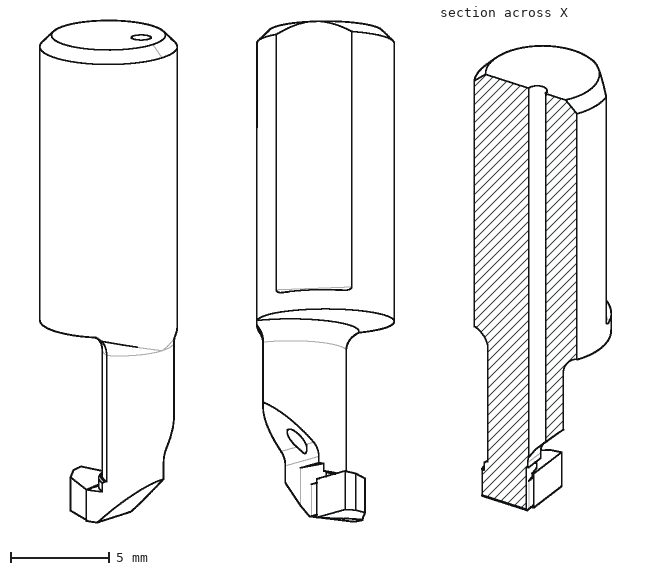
import cadquery as cq
import math

TOTAL_LENGTH = 25
SHANK_RADIUS = 3.5
SHANK_BOTTOM = 10
SHANK_CHAMFER = 0.6
FLAT_DISTANCE = 2.9
FLAT_BOTTOM = 11
FLAT_FILLET = 0.2

BACK_RADIUS = 2.8
BACK_CENTRE_X = SHANK_RADIUS - BACK_RADIUS
NECK_LEFT_X = 0.4
LENS_CORNER_X = 1.92
LENS_CORNER_Y = math.sqrt(BACK_RADIUS**2 - (LENS_CORNER_X - BACK_CENTRE_X)**2)
FLARE_RADIUS = 1.1
FLARE_TOP = SHANK_BOTTOM + 0.1

RELIEF_Y = 0.15
RELIEF_SLOPE_TOP = 5.88
RELIEF_RADIUS = 1

LENS_DEPTH = LENS_CORNER_X - NECK_LEFT_X
FRONT_RADIUS = (LENS_DEPTH**2 + LENS_CORNER_Y**2) / (2 * LENS_DEPTH)
FRONT_CENTRE_X = NECK_LEFT_X + FRONT_RADIUS

ARM_TOP = 1.8
COLLAR_TOP = 2.35
COLLAR_STEP = 0.18
COLLAR_CHAMFER = 0.1
COLLAR_RIGHT_X = 1.78
ARM_BOTTOM = 0.15
HEEL_X = 1.45

POCKET_RIGHT_X = 2.1
POCKET_TOP = 2.75
POCKET_DEEP_X = 0.25
POCKET_DEEP_Y = -0.2

TIP_LEFT_X = -1.8
TIP_LAND_X = -1.75
TIP_LAND_Y = -0.68
TIP_CORNER_X = -1.15
TIP_CORNER_Y = -1.65
TIP_RIGHT_X = 0.82
TIP_FRONT_Y = -math.sqrt(BACK_RADIUS**2 - (TIP_RIGHT_X - BACK_CENTRE_X)**2)
TIP_HEIGHT = 2
TIP_CLEARANCE = 0.2

COOLANT_X = 1.58
COOLANT_Y = 0.7
COOLANT_DIAMETER = 1

MARGIN = 5


def block(x_range, y_range, z_range):
    """Axis-aligned box between the given limits."""
    (x0, x1), (y0, y1), (z0, z1) = x_range, y_range, z_range
    return cq.Workplane("XY").box(x1 - x0, y1 - y0, z1 - z0, centered=False).translate((x0, y0, z0))


def make_shank():
    """Chamfered bar with a clamping flat facing (-X, +Y)."""
    shank = cq.Workplane("XY").workplane(offset=SHANK_BOTTOM)
    shank = shank.circle(SHANK_RADIUS).extrude(TOTAL_LENGTH - SHANK_BOTTOM)
    shank = shank.faces(">Z").chamfer(SHANK_CHAMFER)
    flat = block(
        (FLAT_DISTANCE, FLAT_DISTANCE + MARGIN), (-MARGIN, MARGIN), (FLAT_BOTTOM, TOTAL_LENGTH + MARGIN)
    )
    flat = flat.edges("<X and <Z").fillet(FLAT_FILLET)
    return shank.cut(flat.rotate((0, 0, 0), (0, 0, 1), 135))


def flared_cylinder(centre_x, radius):
    """Round column along Z that widens along an arc at its top."""
    flare_bottom = FLARE_TOP - FLARE_RADIUS
    arc_reach = FLARE_RADIUS * math.sqrt(0.5)
    arc_middle = (radius + FLARE_RADIUS - arc_reach, flare_bottom + arc_reach)
    profile = (
        cq.Workplane("XZ")
        .moveTo(0, ARM_TOP)
        .lineTo(radius, ARM_TOP)
        .lineTo(radius, flare_bottom)
        .threePointArc(arc_middle, (radius + FLARE_RADIUS, FLARE_TOP))
        .lineTo(0, FLARE_TOP)
        .close()
    )
    return profile.revolve(360, (0, 0, 0), (0, 1, 0)).translate((centre_x, 0, 0))


def make_neck():
    """Overlap of two flared cylinders, widening under the shank, trimmed to the shank's cylinder."""
    back = flared_cylinder(BACK_CENTRE_X, BACK_RADIUS)
    front = flared_cylinder(FRONT_CENTRE_X, FRONT_RADIUS)
    envelope = cq.Workplane("XY").circle(SHANK_RADIUS).extrude(SHANK_BOTTOM)
    return back.intersect(front).intersect(envelope)


def make_collar():
    """Chamfered step at the foot of the neck, with a full-width shoulder toward +X."""
    collar = cq.Workplane("XY").workplane(offset=ARM_TOP).center(FRONT_CENTRE_X, 0)
    collar = collar.circle(FRONT_RADIUS + COLLAR_STEP).extrude(COLLAR_TOP - ARM_TOP)
    collar = collar.faces(">Z").chamfer(COLLAR_CHAMFER)
    back = cq.Workplane("XY").center(BACK_CENTRE_X, 0).circle(BACK_RADIUS).extrude(COLLAR_TOP)
    shoulder = block(
        (COLLAR_RIGHT_X, MARGIN), (-MARGIN, MARGIN), (ARM_TOP, COLLAR_TOP - COLLAR_CHAMFER)
    )
    return collar.union(shoulder).intersect(back)


def make_arm():
    """Segment of the back circle that carries the tip."""
    arm = cq.Workplane("XY").workplane(offset=ARM_BOTTOM).center(BACK_CENTRE_X, 0)
    arm = arm.circle(BACK_RADIUS).extrude(ARM_TOP - ARM_BOTTOM)
    return arm.intersect(block((TIP_RIGHT_X, MARGIN), (-MARGIN, MARGIN), (0, TIP_HEIGHT)))


def neck_relief():
    """Cutter that thins the lower neck on +Y, ending in a 45 degree slope."""
    outer_y = RELIEF_Y + MARGIN
    slope_start_z = RELIEF_SLOPE_TOP - (LENS_CORNER_Y - RELIEF_Y)
    relief = (
        cq.Workplane("YZ").workplane(offset=-MARGIN)
        .moveTo(RELIEF_Y, -MARGIN)
        .lineTo(RELIEF_Y, slope_start_z)
        .lineTo(outer_y, slope_start_z + MARGIN)
        .lineTo(outer_y, -MARGIN)
        .close()
        .extrude(2 * MARGIN)
    )
    corner = cq.selectors.NearestToPointSelector((0, RELIEF_Y, slope_start_z))
    return relief.edges("|X").edges(corner).fillet(RELIEF_RADIUS)


def heel_cut():
    """Cutter for the 45 degree heel under the arm."""
    heel = (
        cq.Workplane("XZ").workplane(offset=-MARGIN)
        .moveTo(HEEL_X, ARM_BOTTOM)
        .lineTo(HEEL_X + MARGIN, ARM_BOTTOM + MARGIN)
        .lineTo(HEEL_X + MARGIN, ARM_BOTTOM)
        .close()
    )
    return heel.extrude(2 * MARGIN)


def make_tip():
    """Cutting tip with its rake face at y = 0 and end faces that taper toward -Y."""
    plan = [
        (TIP_LEFT_X, 0),
        (TIP_LAND_X, TIP_LAND_Y),
        (TIP_CORNER_X, TIP_CORNER_Y),
        (TIP_RIGHT_X, TIP_FRONT_Y),
        (TIP_RIGHT_X, 0),
    ]
    blank = cq.Workplane("XY").polyline(plan).close().extrude(TIP_HEIGHT)
    taper = (
        cq.Workplane("YZ").workplane(offset=-MARGIN)
        .moveTo(0, 0)
        .lineTo(0, TIP_HEIGHT)
        .lineTo(TIP_FRONT_Y, TIP_HEIGHT - TIP_CLEARANCE)
        .lineTo(TIP_FRONT_Y, TIP_CLEARANCE)
        .close()
        .extrude(2 * MARGIN)
    )
    return blank.intersect(taper)


def chip_pocket():
    """Cutter with an oblique wall that starts at the relief face and deepens toward -X."""
    pocket = (
        cq.Workplane("XY")
        .moveTo(POCKET_RIGHT_X, RELIEF_Y)
        .lineTo(POCKET_DEEP_X, POCKET_DEEP_Y)
        .lineTo(-MARGIN, POCKET_DEEP_Y)
        .lineTo(-MARGIN, RELIEF_Y)
        .close()
        .extrude(POCKET_TOP)
    )
    arm_side = block((-MARGIN, MARGIN), (-MARGIN, 0), (0, ARM_TOP))
    return pocket.cut(arm_side)


def make_holder(tip):
    """Shank, neck, collar and arm in one piece, seated around the tip."""
    holder = make_shank().union(make_neck()).union(make_collar()).union(make_arm())
    holder = holder.cut(neck_relief()).cut(heel_cut()).cut(chip_pocket())
    coolant = cq.Workplane("XY").center(COOLANT_X, COOLANT_Y).circle(COOLANT_DIAMETER / 2)
    return holder.cut(coolant.extrude(TOTAL_LENGTH)).cut(tip)


tip = make_tip()
holder = make_holder(tip)
result = cq.Compound.makeCompound([holder.val(), tip.val()])